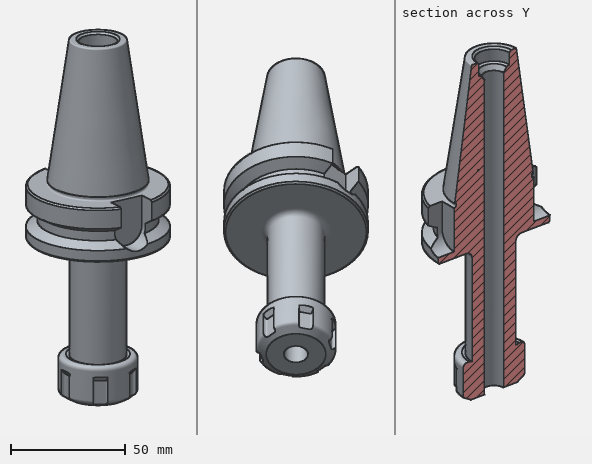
import cadquery as cq
import math


ARC_INSET = 1 - math.sqrt(0.5)

GAUGE_DIAMETER = 44.45
TAPER_LENGTH = 65.4
TAPER_RATIO = 7 / 24
TAPER_TOP_ROUNDING = 0.8

FLANGE_TOP_Z = -2.0
NECK_DIAMETER = 43.0
NECK_FILLET = 0.8

FLANGE_DIAMETER = 63.0
FLANGE_BOTTOM_Z = -27.0
FLANGE_EDGE_CHAMFER = 0.8
GROOVE_DIAMETER = 53.2
GROOVE_CENTRE_Z = -16.4
GROOVE_FLOOR_WIDTH = 4.4
GROOVE_FLANK_ANGLE = 30.0

DRIVE_SLOT_WIDTH = 16.1
DRIVE_SLOT_BOTTOM_Z = -23.5
DRIVE_SLOT_FLOOR_X = 22.6

SHANK_DIAMETER = 25.0
SHANK_FILLET = 3.0

NOSE_Z = -100.0
NUT_DIAMETER = 34.8
NUT_LENGTH = 19.3
NUT_TOP_FILLET = 2.0
NUT_RECESS_DIAMETER = 28.0
NUT_RECESS_DEPTH = 0.5
NUT_NOSE_DIAMETER = 26.0
NUT_CONE_ANGLE = 30.0
NUT_EDGE_RADIUS = 1.9

WRENCH_SLOT_COUNT = 6
WRENCH_SLOT_FLOOR_RADIUS = 15.4
WRENCH_SLOT_FLOOR_WIDTH = 5.8
WRENCH_SLOT_MOUTH_WIDTH = 6.5
WRENCH_SLOT_TOP_SLOPE = 2.5
WRENCH_SLOT_CORNER_RADIUS = 0.9
WRENCH_SLOT_HEIGHT = 14.8
SHORT_SLOT_HEIGHT = 13.3
FIRST_SLOT_ANGLE = 30
SHORT_SLOT_INDEX = 2

BORE_CHAMFER = 1.0
COUNTERBORE_DIAMETER = 17.0
COUNTERBORE_DEPTH = 6.9
COUNTERBORE_FLOOR_DROP = 0.5
CONE_TOP_DIAMETER = 13.9
CONE_HEIGHT = 2.4
THROUGH_DIAMETER = 10.5


def make_body():
    """Everything that is turned: taper, neck, flange, shank and nut."""
    gauge_radius = GAUGE_DIAMETER / 2
    taper_top_radius = gauge_radius - TAPER_LENGTH * TAPER_RATIO / 2
    taper_edge_radius = taper_top_radius + TAPER_TOP_ROUNDING * TAPER_RATIO / 2
    neck_radius = NECK_DIAMETER / 2
    flange_radius = FLANGE_DIAMETER / 2
    groove_radius = GROOVE_DIAMETER / 2
    flank_height = (flange_radius - groove_radius) * math.tan(math.radians(GROOVE_FLANK_ANGLE))
    groove_floor_top = GROOVE_CENTRE_Z + GROOVE_FLOOR_WIDTH / 2
    groove_floor_bottom = GROOVE_CENTRE_Z - GROOVE_FLOOR_WIDTH / 2
    shank_radius = SHANK_DIAMETER / 2
    nut_radius = NUT_DIAMETER / 2
    nut_top = NOSE_Z + NUT_LENGTH
    edge_turn = math.radians(90 - NUT_CONE_ANGLE)
    nut_cone_radius = nut_radius - NUT_EDGE_RADIUS * (1 - math.cos(edge_turn))
    nut_cone_height = (nut_cone_radius - NUT_NOSE_DIAMETER / 2) * math.tan(math.radians(NUT_CONE_ANGLE))
    nut_edge_arc_z = NOSE_Z + nut_cone_height + NUT_EDGE_RADIUS * math.sin(edge_turn)

    return (
        cq.Workplane("XZ")
        .moveTo(0, TAPER_LENGTH)
        .lineTo(taper_edge_radius - TAPER_TOP_ROUNDING, TAPER_LENGTH)
        .threePointArc(
            (
                taper_edge_radius - TAPER_TOP_ROUNDING * ARC_INSET,
                TAPER_LENGTH - TAPER_TOP_ROUNDING * ARC_INSET,
            ),
            (taper_edge_radius, TAPER_LENGTH - TAPER_TOP_ROUNDING),
        )
        .lineTo(gauge_radius, 0)
        .lineTo(neck_radius, 0)
        .lineTo(neck_radius, FLANGE_TOP_Z + NECK_FILLET)
        .threePointArc(
            (neck_radius + NECK_FILLET * ARC_INSET, FLANGE_TOP_Z + NECK_FILLET * ARC_INSET),
            (neck_radius + NECK_FILLET, FLANGE_TOP_Z),
        )
        .lineTo(flange_radius - FLANGE_EDGE_CHAMFER, FLANGE_TOP_Z)
        .lineTo(flange_radius, FLANGE_TOP_Z - FLANGE_EDGE_CHAMFER)
        .lineTo(flange_radius, groove_floor_top + flank_height)
        .lineTo(groove_radius, groove_floor_top)
        .lineTo(groove_radius, groove_floor_bottom)
        .lineTo(flange_radius, groove_floor_bottom - flank_height)
        .lineTo(flange_radius, FLANGE_BOTTOM_Z + FLANGE_EDGE_CHAMFER)
        .lineTo(flange_radius - FLANGE_EDGE_CHAMFER, FLANGE_BOTTOM_Z)
        .lineTo(shank_radius + SHANK_FILLET, FLANGE_BOTTOM_Z)
        .threePointArc(
            (shank_radius + SHANK_FILLET * ARC_INSET, FLANGE_BOTTOM_Z - SHANK_FILLET * ARC_INSET),
            (shank_radius, FLANGE_BOTTOM_Z - SHANK_FILLET),
        )
        .lineTo(shank_radius, nut_top - NUT_RECESS_DEPTH)
        .lineTo(NUT_RECESS_DIAMETER / 2, nut_top)
        .lineTo(nut_radius - NUT_TOP_FILLET, nut_top)
        .threePointArc(
            (nut_radius - NUT_TOP_FILLET * ARC_INSET, nut_top - NUT_TOP_FILLET * ARC_INSET),
            (nut_radius, nut_top - NUT_TOP_FILLET),
        )
        .lineTo(nut_radius, nut_edge_arc_z)
        .threePointArc(
            (
                nut_radius - NUT_EDGE_RADIUS * (1 - math.cos(edge_turn / 2)),
                nut_edge_arc_z - NUT_EDGE_RADIUS * math.sin(edge_turn / 2),
            ),
            (nut_cone_radius, NOSE_Z + nut_cone_height),
        )
        .lineTo(NUT_NOSE_DIAMETER / 2, NOSE_Z)
        .lineTo(0, NOSE_Z)
        .close()
        .revolve(360, (0, 0, 0), (0, 1, 0))
    )


def make_bore():
    """Stepped through bore with a chamfered mouth."""
    counterbore_radius = COUNTERBORE_DIAMETER / 2
    cone_radius = CONE_TOP_DIAMETER / 2
    through_radius = THROUGH_DIAMETER / 2
    floor_z = TAPER_LENGTH - COUNTERBORE_DEPTH
    cone_top_z = floor_z - COUNTERBORE_FLOOR_DROP
    return (
        cq.Workplane("XZ")
        .moveTo(0, TAPER_LENGTH)
        .lineTo(counterbore_radius + BORE_CHAMFER, TAPER_LENGTH)
        .lineTo(counterbore_radius, TAPER_LENGTH - BORE_CHAMFER)
        .lineTo(counterbore_radius, floor_z)
        .lineTo(cone_radius, cone_top_z)
        .lineTo(through_radius, cone_top_z - CONE_HEIGHT)
        .lineTo(through_radius, NOSE_Z)
        .lineTo(0, NOSE_Z)
        .close()
        .revolve(360, (0, 0, 0), (0, 1, 0))
    )


def make_drive_slot(side):
    """Round-bottomed drive slot on the +X (side = 1) or -X (side = -1) side."""
    half_width = DRIVE_SLOT_WIDTH / 2
    arc_centre_z = DRIVE_SLOT_BOTTOM_Z + half_width
    return (
        cq.Workplane("YZ")
        .workplane(offset=side * DRIVE_SLOT_FLOOR_X)
        .moveTo(-half_width, 0)
        .lineTo(-half_width, arc_centre_z)
        .threePointArc((0, DRIVE_SLOT_BOTTOM_Z), (half_width, arc_centre_z))
        .lineTo(half_width, 0)
        .close()
        .extrude(side * FLANGE_DIAMETER / 2)
    )


def make_wrench_slot(height, angle):
    """Slot open at the nose, with flared sides, rounded floor corners and a sloped top end."""
    floor_radius = WRENCH_SLOT_FLOOR_RADIUS
    mouth_radius = NUT_DIAMETER / 2
    half_floor = WRENCH_SLOT_FLOOR_WIDTH / 2
    half_mouth = WRENCH_SLOT_MOUTH_WIDTH / 2
    top_z = NOSE_Z + height

    flared_channel = (
        cq.Workplane("XY")
        .workplane(offset=NOSE_Z)
        .moveTo(floor_radius, -half_floor)
        .lineTo(mouth_radius, -half_mouth)
        .lineTo(mouth_radius, half_mouth)
        .lineTo(floor_radius, half_floor)
        .close()
        .extrude(height)
        .edges("<X and |Z")
        .fillet(WRENCH_SLOT_CORNER_RADIUS)
    )
    side_profile = (
        cq.Workplane("XZ")
        .moveTo(floor_radius, NOSE_Z)
        .lineTo(floor_radius, top_z - WRENCH_SLOT_TOP_SLOPE)
        .lineTo(mouth_radius, top_z)
        .lineTo(mouth_radius, NOSE_Z)
        .close()
        .extrude(half_mouth, both=True)
    )
    return flared_channel.intersect(side_profile).rotate((0, 0, 0), (0, 0, 1), angle)


result = make_body().cut(make_bore())
for slot_side in (-1, 1):
    result = result.cut(make_drive_slot(slot_side))
slot_pitch = 360 / WRENCH_SLOT_COUNT
for index in range(WRENCH_SLOT_COUNT):
    slot_height = SHORT_SLOT_HEIGHT if index == SHORT_SLOT_INDEX else WRENCH_SLOT_HEIGHT
    result = result.cut(make_wrench_slot(slot_height, FIRST_SLOT_ANGLE + index * slot_pitch))